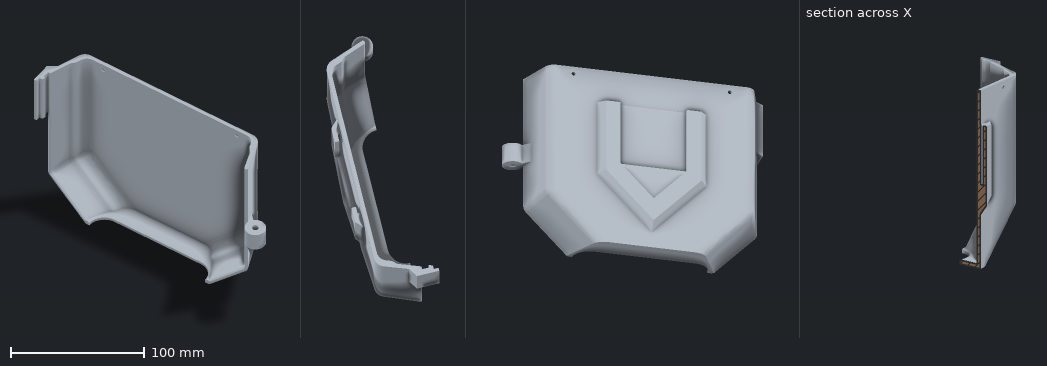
import cadquery as cq
import math

height = 141.5
depth = 33.0
rim_half_width = 91.2
rim_corner_z = 33.7
draft = math.radians(20)
back_thickness = 3.0
lower_wall = 3.0
upper_wall = 4.8
cavity_lift = 0.5
end_wall = 3.5
rim_chamfer = 1.1
step_front_y = 17.45
step_back_y = 20.4
outer_corner_radius = 7.0
inner_corner_radius = 6.0
back_edge_radius = 8.0
step_front_radius = 6.0
step_back_radius = 4.0
mitre_zone = 20.0
tolerance = 0.01
overshoot = 30.0

arch_half_width = 52.8
arch_height = 13.8

screw_hole_diameter = 3.0
screw_hole_x = 60.9
screw_hole_z = 135.8

latch_length = 42.0
latch_outer_x = -94.85
latch_inner_x = -90.55
latch_tip_x = -92.45
latch_tip_y = -12.15
latch_shoulder_y = 5.0
latch_root = (-87.9, 9.8)
bump_peak_x = -88.75
bump_foot_x = -89.65
bump_back_y = -5.5
bump_front_y = -8.5

hinge_x = 99.04
hinge_y = -0.45
hinge_radius = 8.1
hinge_bore = 5.2
hinge_bottom_z = 69.8
hinge_top_z = 85.0
web_root = (87.3, 11.2)
web_notch = (93.0, 5.6)

mount_height = 5.65
mount_half_width = 43.0
mount_top_z = 114.2
mount_tip_z = 12.0
slot_floor_y = 33.5
slot_lip_y = 35.3
window_floor_y = 37.1
slot_half_width = 31.3
window_half_width = 26.0
slot_end_z = 62.0
window_end_z = 64.0


def wire_at(points, y):
    """Closed polygon of (x, z) points in the plane at depth y."""
    return cq.Wire.makePolygon([cq.Vector(x, y, z) for x, z in points], close=True)


def prism(points, y_front, y_back):
    """Straight prism along Y from an outline of (x, z) points."""
    plane = cq.Plane(origin=(0, y_front, 0), xDir=(1, 0, 0), normal=(0, 1, 0))
    outline = [(x, -z) for x, z in points]
    return cq.Workplane(plane).polyline(outline).close().extrude(y_back - y_front)


def pointed_outline(half_width, corner_z, top_z):
    """Upright sides closed below by two 45 degree sides that meet in a point."""
    return [
        (-half_width, top_z),
        (-half_width, corner_z),
        (0, corner_z - half_width),
        (half_width, corner_z),
        (half_width, top_z),
    ]


def inset_outline(inset):
    """Rim outline moved inward by an equal distance on all slanted and upright sides."""
    corner_z = rim_corner_z + inset * math.tan(math.pi / 8)
    return pointed_outline(rim_half_width - inset, corner_z, height + overshoot)


def stacked_loft(levels):
    """Solid through a list of (inset, y) levels with flat sides between them."""
    body = None
    for (inset_a, y_a), (inset_b, y_b) in zip(levels, levels[1:]):
        wires = [wire_at(inset_outline(inset_a), y_a), wire_at(inset_outline(inset_b), y_b)]
        layer = cq.Workplane(cq.Solid.makeLoft(wires, True))
        body = layer if body is None else body.union(layer)
    return body


def side_inset(y, wall):
    """Inset at depth y of a face lying the wall thickness inside the outer side."""
    return (y - rim_chamfer) * math.tan(draft) + wall / math.cos(draft)


def round_side_corners(body, radius):
    """Round the chains of edges where the upright sides meet the 45 degree sides."""
    chosen = []
    for edge in body.edges().vals():
        box = edge.BoundingBox()
        is_mitre = box.ylen > tolerance and box.zlen < mitre_zone and box.zmin > 0
        if is_mitre and box.zmax < rim_corner_z + mitre_zone:
            chosen.append(edge)
    return body.newObject(chosen).fillet(radius)


def round_step(body, y, radius):
    """Round the run of edges around the body at depth y, apart from its top side."""
    chosen = []
    for edge in body.edges().vals():
        box = edge.BoundingBox()
        at_depth = abs(box.ymin - y) < tolerance and abs(box.ymax - y) < tolerance
        if at_depth and edge.Center().z < height + overshoot - tolerance:
            chosen.append(edge)
    return body.newObject(chosen).fillet(radius)


def outer_blank():
    """Solid outer form of the shell, longer than the part above and below."""
    body = stacked_loft([
        (rim_chamfer, 0),
        (0, rim_chamfer),
        (side_inset(depth, 0), depth),
    ])
    body = round_step(body, depth, back_edge_radius)
    return round_side_corners(body, outer_corner_radius)


def cavity():
    """Hollow of the shell: wide near the rim, narrower behind the wall step."""
    floor_y = depth - back_thickness
    chamfered_inset = side_inset(rim_chamfer, lower_wall)
    body = stacked_loft([
        (chamfered_inset - rim_chamfer, 0),
        (chamfered_inset, rim_chamfer),
        (side_inset(step_front_y, lower_wall), step_front_y),
        (side_inset(step_back_y, upper_wall), step_back_y),
        (side_inset(floor_y, upper_wall), floor_y),
    ])
    body = round_step(body, floor_y, back_edge_radius)
    body = round_step(body, step_front_y, step_front_radius)
    body = round_step(body, step_back_y, step_back_radius)
    return round_side_corners(body, inner_corner_radius).translate((0, 0, cavity_lift))


def slab(z_bottom, z_top):
    """Block covering the whole shell between two heights."""
    width = 4 * rim_half_width
    block = cq.Workplane("XY").box(width, width, z_top - z_bottom, centered=(True, True, False))
    return block.translate((0, 0, z_bottom))


def arch_face(z, growth):
    """Arched opening outline at height z, grown by an equal distance all round."""
    half = arch_half_width + growth
    top = arch_height + growth
    flat = half - top
    bend = top * math.sqrt(0.5)
    return (
        cq.Workplane("XY", origin=(0, 0, z))
        .moveTo(-half, -overshoot)
        .lineTo(-half, 0)
        .threePointArc((-flat - bend, bend), (-flat, top))
        .lineTo(flat, top)
        .threePointArc((flat + bend, bend), (half, 0))
        .lineTo(half, -overshoot)
        .close()
    )


def arch_cutter():
    """Straight opening with a chamfer on the inner edge of the end wall."""
    straight = arch_face(0, 0).extrude(end_wall)
    narrow = arch_face(end_wall - rim_chamfer, 0).wires().val()
    wide = arch_face(end_wall, rim_chamfer).wires().val()
    return straight.union(cq.Workplane(cq.Solid.makeLoft([narrow, wide], True)))


def shell():
    """Hollow shell trimmed to its height, with the arched lower end."""
    body = outer_blank().intersect(slab(0, height))
    body = body.cut(cavity().intersect(slab(end_wall, height + overshoot)))
    return body.cut(arch_cutter())


def latch():
    """Hooked strip along the upper part of the left rim."""
    inner_wall_x = side_inset(rim_chamfer, lower_wall) - rim_half_width
    points = [
        latch_root,
        (latch_outer_x, latch_shoulder_y),
        (latch_outer_x, latch_tip_y),
        (latch_tip_x, latch_tip_y),
        (latch_tip_x, bump_front_y),
        (bump_foot_x, bump_front_y),
        (bump_peak_x, bump_back_y),
        (latch_inner_x, bump_back_y),
        (latch_inner_x, 0),
        (inner_wall_x - rim_chamfer * math.tan(draft), 0),
        (inner_wall_x, rim_chamfer),
    ]
    plane = cq.Workplane("XY", origin=(0, 0, height - latch_length))
    return plane.polyline(points).close().extrude(latch_length)


def hinge():
    """Hinge eye and the web that joins it to the right wall."""
    length = hinge_top_z - hinge_bottom_z
    plane = cq.Workplane("XY", origin=(0, 0, hinge_bottom_z))
    eye = plane.center(hinge_x, hinge_y).circle(hinge_radius).extrude(length)
    bore = plane.center(hinge_x, hinge_y).circle(hinge_bore / 2).extrude(length)
    web_points = [web_root, web_notch, (hinge_x, 0), (rim_half_width - rim_chamfer, 0)]
    web = plane.polyline(web_points).close().extrude(length)
    return eye.union(web).cut(bore)


def mount():
    """Pointed raised pad with 45 degree flanks and a slot behind a narrower window."""
    top_y = depth + mount_height
    corner_z = mount_tip_z + mount_half_width
    top_corner_z = corner_z + mount_height * math.tan(math.pi / 8)
    base = pointed_outline(mount_half_width, corner_z, mount_top_z)
    face = pointed_outline(mount_half_width - mount_height, top_corner_z, mount_top_z)
    pad = cq.Workplane(cq.Solid.makeLoft([wire_at(base, depth), wire_at(face, top_y)], True))

    corner = slot_half_width - window_half_width
    slot = prism([
        (-slot_half_width, mount_top_z),
        (-slot_half_width, slot_end_z + corner),
        (-window_half_width, slot_end_z),
        (window_half_width, slot_end_z),
        (slot_half_width, slot_end_z + corner),
        (slot_half_width, mount_top_z),
    ], slot_floor_y, slot_lip_y)
    neck = prism([
        (-window_half_width, mount_top_z),
        (-window_half_width, window_end_z),
        (window_half_width, window_end_z),
        (window_half_width, mount_top_z),
    ], slot_lip_y, window_floor_y)
    window = prism(pointed_outline(window_half_width, window_end_z, mount_top_z), window_floor_y, top_y)
    return pad.cut(slot).cut(neck).cut(window)


def screw_holes():
    """Two holes through the back, near its top edge."""
    plane = cq.Workplane("XZ", origin=(0, depth, 0))
    places = [(-screw_hole_x, screw_hole_z), (screw_hole_x, screw_hole_z)]
    return plane.pushPoints(places).circle(screw_hole_diameter / 2).extrude(back_thickness)


result = shell().union(latch()).union(hinge()).union(mount()).cut(screw_holes())